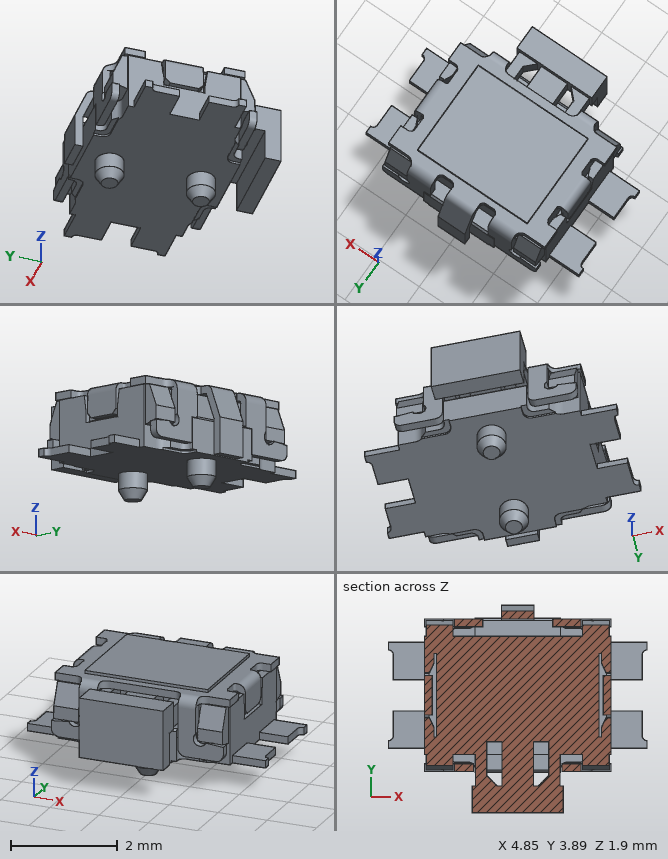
import cadquery as cq
import math


sheet = 0.15
cover_top = 1.345
cover_bottom = cover_top - sheet
cap_top = 1.4
ledge_top = 0.69

housing_half_x = 1.75
housing_half_y = 1.11
ledge_half_x = 0.8
ledge_half_y = 1.445
ledge_chamfer = 0.045
step_half_y = 1.255
ledge_fillet = 0.125
shoulder_outer_x = 1.425
shoulder_rise_x = 1.28
shoulder_rise_y = 1.165
wedge_inner_x = 1.212
wedge_outer_x = 1.715
wedge_top_y = 1.215
wedge_face_y = 1.395
wedge_face_top = 0.76
wedge_face_bottom = 0.505
wedge_root_z = 0.425

undercut_height = 0.045
undercut_inner_x = 0.695
undercut_outer_x = 1.315
undercut_y = 1.155
undercut_fillet = 0.15

cover_half_x = 1.78
cover_half_y = 1.185
cap_half_x = 1.25
cap_half_y = 1.0
tab_face_y = 1.43
tab_bend = 0.205
tab_outer_x = 1.19
front_tab_inner_x = 0.825
rear_tab_inner_x = 0.655
tab_bottom = 0.165
tab_corner = 0.15
foot_top = 0.505
foot_tip_top = 0.47
foot_slope_x = 1.395
foot_relief_radius = 0.13
foot_relief_x = 1.27
foot_relief_z = 0.555

side_tab_half_y = 0.375
side_tab_bend = 0.16
side_tab_bottom = 0.74
side_tab_chamfer = 0.09
relief_inner_x = 1.525
relief_outer_y = 0.78
relief_corner = 0.095
relief_root_corner = 0.045
notch_floor = 0.67
pocket_floor = 0.71
slot_top = 0.79
notch_half_y = 0.405
notch_top_half_y = 0.45
notch_slope_bottom = 0.84
notch_slope_top = 1.15
wall_inner_x = 1.565
thin_wall_inner_x = 1.66
wall_taper_y = 0.6

leg_half_x = 0.305
leg_outer_y = 1.69
leg_knee_z = 0.69
leg_bend_start_y = 1.325
leg_bend = 0.15
leg_slope = math.radians(68)
rear_notch_y = 1.12
rear_notch_corner = 0.085

button_half_x = 0.855
button_front_y = -2.2
button_back_y = -1.698
button_skirt_back_y = -1.885
button_bottom = 0.145
neck_bottom = 0.785
neck_half_x = 0.795
prong_inner_x = 0.575
prong_gusset = 0.195
stem_half_x = 0.295
prong_gap_back_y = -0.875

terminal_tip_x = 2.425
terminal_outer_y = 0.995
terminal_inner_y = 0.29
terminal_tip_width = 0.145
terminal_step = 0.09

pin_y = 0.9
pin_diameter = 0.55
pin_tip_diameter = 0.315
pin_length = 0.5
pin_taper_length = 0.19


def box(x0, x1, y0, y1, z0, z1):
    return cq.Workplane("XY").box(x1 - x0, y1 - y0, z1 - z0, centered=False).translate((x0, y0, z0))


def plan_prism(points, z0, z1):
    return cq.Workplane("XY").workplane(offset=z0).polyline(points).close().extrude(z1 - z0)


def across_x(profile, x0, x1):
    """Extrude a closed YZ profile from x0 to x1."""
    return profile.extrude(x1 - x0).translate((x0, 0, 0))


def post(x, y, radius, z0, z1):
    return cq.Workplane("XY").circle(radius).extrude(z1 - z0).translate((x, y, z0))


def both_x(shape):
    return shape.union(shape.mirror("YZ"))


def both_y(shape):
    return shape.union(shape.mirror("XZ"))


def four_corners(shape):
    return both_y(both_x(shape))


def corner_fillet(x, y, radius, z0, z1):
    """Material in a concave corner at (x, y) that opens toward +X +Y."""
    block = box(x, x + radius, y, y + radius, z0, z1)
    return block.cut(post(x + radius, y + radius, radius, z0, z1))


def make_wedge():
    """Wedge-shaped corner lug on the housing, at +X +Y."""
    profile = cq.Workplane("YZ").polyline([
        (0, cover_bottom), (wedge_top_y, cover_bottom), (wedge_face_y, wedge_face_top),
        (wedge_face_y, wedge_face_bottom), (housing_half_y, wedge_root_z), (0, wedge_root_z),
    ]).close()
    return across_x(profile, wedge_inner_x, wedge_outer_x)


def make_ledge():
    """Shoulder and thick middle along the +Y side of the housing."""
    run = shoulder_outer_x - shoulder_rise_x
    rise = shoulder_rise_y - housing_half_y
    sweep = 2 * math.atan(rise / run)
    arc_radius = run / math.sin(sweep)
    arc_middle_x = shoulder_outer_x - arc_radius * math.sin(sweep / 2)
    arc_middle_y = housing_half_y + arc_radius * (1 - math.cos(sweep / 2))
    shoulder = (
        cq.Workplane("XY").moveTo(0, 0).lineTo(shoulder_outer_x, 0).lineTo(shoulder_outer_x, housing_half_y)
        .threePointArc((arc_middle_x, arc_middle_y), (shoulder_rise_x, shoulder_rise_y))
        .lineTo(tab_outer_x, step_half_y).lineTo(0, step_half_y)
        .close().extrude(foot_top)
    )
    middle = box(-ledge_half_x, ledge_half_x, 0, ledge_half_y, 0, ledge_top)
    middle = middle.faces(">Y").edges(">Z").chamfer(ledge_chamfer)
    fillet = corner_fillet(ledge_half_x, step_half_y, ledge_fillet, 0, foot_top)
    undercut = box(undercut_inner_x, undercut_outer_x, undercut_y, ledge_half_y, 0, undercut_height)
    undercut = undercut.cut(corner_fillet(undercut_inner_x, undercut_y, undercut_fillet, 0, undercut_height))
    return both_x(shoulder).union(middle).union(both_x(fillet)).cut(both_x(undercut))


def make_side_opening():
    """Tapered notch in the +X wall and the pocket behind it."""
    half_notch = [
        (notch_half_y, notch_floor), (notch_half_y, notch_slope_bottom),
        (notch_top_half_y, notch_slope_top), (notch_top_half_y, cover_bottom),
    ]
    mirrored = [(-y, z) for y, z in reversed(half_notch)]
    notch = across_x(cq.Workplane("YZ").polyline(half_notch + mirrored).close(),
                     thin_wall_inner_x, housing_half_x)
    half_pocket = [
        (relief_inner_x, relief_outer_y), (wall_inner_x, relief_outer_y),
        (wall_inner_x, wall_taper_y), (thin_wall_inner_x, notch_half_y),
    ]
    pocket = plan_prism(half_pocket + [(x, -y) for x, y in reversed(half_pocket)], pocket_floor, cover_bottom)
    return notch.union(pocket)


def make_housing():
    body = box(-housing_half_x, housing_half_x, -housing_half_y, housing_half_y, 0, cover_bottom)
    body = body.union(both_y(make_ledge())).union(four_corners(make_wedge()))
    slot = box(-housing_half_x, housing_half_x, -notch_half_y, notch_half_y, pocket_floor, slot_top)
    prong_gap = box(stem_half_x, prong_inner_x, -housing_half_y, prong_gap_back_y, neck_bottom, cover_bottom)
    return body.cut(both_x(make_side_opening())).cut(slot).cut(both_x(prong_gap))


def bent_strip(bend_face, bend_radius, lower_end):
    """YZ profile of sheet running out along +Y, bent down so its outer face is at bend_face."""
    bend_start = bend_face - bend_radius
    bend_z = cover_top - bend_radius
    inner_radius = bend_radius - sheet
    root = math.sqrt(0.5)
    return (
        cq.Workplane("YZ").moveTo(0, cover_top).lineTo(bend_start, cover_top)
        .threePointArc((bend_start + bend_radius * root, bend_z + bend_radius * root), (bend_face, bend_z))
        .lineTo(bend_face, lower_end).lineTo(bend_face - sheet, lower_end).lineTo(bend_face - sheet, bend_z)
        .threePointArc((bend_start + inner_radius * root, bend_z + inner_radius * root),
                       (bend_start, cover_bottom))
        .lineTo(0, cover_bottom).close()
    )


def make_hooked_tab(inner_x):
    """J-shaped tab on the +Y edge at +X: a bent strip whose foot reaches out under the wedge."""
    strip = across_x(bent_strip(tab_face_y, tab_bend, tab_bottom), inner_x, housing_half_x)
    window = cq.Workplane("XZ").polyline([
        (tab_outer_x, cover_top), (tab_outer_x, foot_top), (foot_slope_x, foot_top),
        (housing_half_x, foot_tip_top), (housing_half_x, cover_top),
    ]).close().extrude(-tab_face_y)
    window = window.cut(corner_fillet(tab_outer_x, cover_half_y, tab_corner, cover_bottom, cover_top))
    foot_relief = cq.Workplane("XZ").center(foot_relief_x, foot_relief_z).circle(foot_relief_radius)
    tab = strip.cut(window).cut(foot_relief.extrude(-tab_face_y))
    return tab.edges("|Y and <Z").fillet(tab_corner)


def make_side_tab():
    """Tab on the +X edge with two chamfered lower corners."""
    profile = bent_strip(housing_half_x, side_tab_bend, side_tab_bottom)
    tab = across_x(profile, -side_tab_half_y, side_tab_half_y)
    tab = tab.edges("|Y and <Z").chamfer(side_tab_chamfer)
    return tab.rotate((0, 0, 0), (0, 0, 1), -90)


def make_spring_leg():
    """Rear leg that leaves the cover, slopes down and ends vertical at the seating plane."""
    bend_z = cover_top - leg_bend
    slope_start = (leg_bend_start_y + leg_bend * math.sin(leg_slope), bend_z + leg_bend * math.cos(leg_slope))
    bend_middle = (leg_bend_start_y + leg_bend * math.sin(leg_slope / 2),
                   bend_z + leg_bend * math.cos(leg_slope / 2))
    leg_thickness = sheet / math.sin(leg_slope)
    inner_y = leg_outer_y - leg_thickness
    inner_rise = cover_bottom - leg_knee_z
    profile = (
        cq.Workplane("YZ").moveTo(0, cover_top).lineTo(leg_bend_start_y, cover_top)
        .threePointArc(bend_middle, slope_start)
        .lineTo(leg_outer_y, leg_knee_z).lineTo(leg_outer_y, 0).lineTo(inner_y, 0).lineTo(inner_y, leg_knee_z)
        .lineTo(inner_y - inner_rise / math.tan(leg_slope), cover_bottom)
        .lineTo(0, cover_bottom).close()
    )
    return across_x(profile, -leg_half_x, leg_half_x)


def make_cover():
    plate = box(-cover_half_x, cover_half_x, -cover_half_y, cover_half_y, cover_bottom, cover_top)

    relief = box(relief_inner_x, cover_half_x, side_tab_half_y, relief_outer_y, cover_bottom, cover_top)
    relief = relief.edges("|Z and <X and >Y").fillet(relief_corner)
    relief = relief.edges("|Z and <X and <Y").fillet(relief_root_corner)
    plate = plate.cut(four_corners(relief))
    side_edge = box(housing_half_x - side_tab_bend, cover_half_x, -side_tab_half_y, side_tab_half_y,
                    cover_bottom, cover_top)
    plate = plate.cut(both_x(side_edge)).union(both_x(make_side_tab()))

    rear_notch = box(leg_half_x, rear_tab_inner_x, rear_notch_y, tab_face_y, cover_bottom, cover_top)
    rear_notch = rear_notch.edges("|Z and <Y").fillet(rear_notch_corner)
    rear_tabs = both_x(make_hooked_tab(rear_tab_inner_x))
    plate = plate.union(rear_tabs).cut(both_x(rear_notch)).union(make_spring_leg())

    front_tabs = both_x(make_hooked_tab(front_tab_inner_x)).mirror("XZ")
    front_fillet = corner_fillet(-front_tab_inner_x, cover_half_y, tab_corner, cover_bottom, cover_top)
    bend_profile = bent_strip(tab_face_y, tab_bend, tab_bottom)
    bend_outline = across_x(bend_profile, -front_tab_inner_x, front_tab_inner_x)
    front_fillets = both_x(front_fillet.intersect(bend_outline)).mirror("XZ")
    cap = box(-cap_half_x, cap_half_x, -cap_half_y, cap_half_y, cover_top, cap_top)
    return plate.union(front_tabs).union(front_fillets).union(cap)


def make_actuator():
    """Push button with a hanging skirt, carried by two gusseted prongs and a middle stem."""
    button = across_x(cq.Workplane("YZ").polyline([
        (button_front_y, cover_top), (button_back_y, cover_top), (button_back_y, neck_bottom),
        (button_skirt_back_y, neck_bottom), (button_skirt_back_y, button_bottom),
        (button_front_y, button_bottom),
    ]).close(), -button_half_x, button_half_x)
    prong = plan_prism([
        (neck_half_x, -housing_half_y), (neck_half_x, button_back_y),
        (prong_inner_x - prong_gusset, button_back_y),
        (prong_inner_x, button_back_y + prong_gusset), (prong_inner_x, -housing_half_y),
    ], neck_bottom, cover_bottom)
    stem = box(-stem_half_x, stem_half_x, button_back_y, -housing_half_y, neck_bottom, cover_bottom)
    return button.union(both_x(prong)).union(stem)


def make_terminal():
    """Solder terminal at +X +Y, with a scalloped step behind its narrow tip."""
    pad = box(housing_half_x, terminal_tip_x, terminal_inner_y, terminal_outer_y, 0, sheet)
    tip_y = terminal_outer_y - terminal_tip_width
    scallop_y = tip_y - terminal_step
    step = box(terminal_tip_x - terminal_step, terminal_tip_x, terminal_inner_y, scallop_y, 0, sheet)
    scallop = post(terminal_tip_x, scallop_y, terminal_step, 0, sheet)
    return pad.cut(step).cut(scallop)


def make_pin():
    """Locating pin at +Y with a tapered tip."""
    radius = pin_diameter / 2
    tip_radius = pin_tip_diameter / 2
    profile = cq.Workplane("XZ").polyline([
        (0, 0), (radius, 0), (radius, pin_taper_length - pin_length),
        (tip_radius, -pin_length), (0, -pin_length),
    ]).close()
    return profile.revolve(360, (0, 0, 0), (0, 1, 0)).translate((0, pin_y, 0))


result = (
    make_housing()
    .union(make_cover())
    .union(make_actuator())
    .union(four_corners(make_terminal()))
    .union(both_y(make_pin()))
)